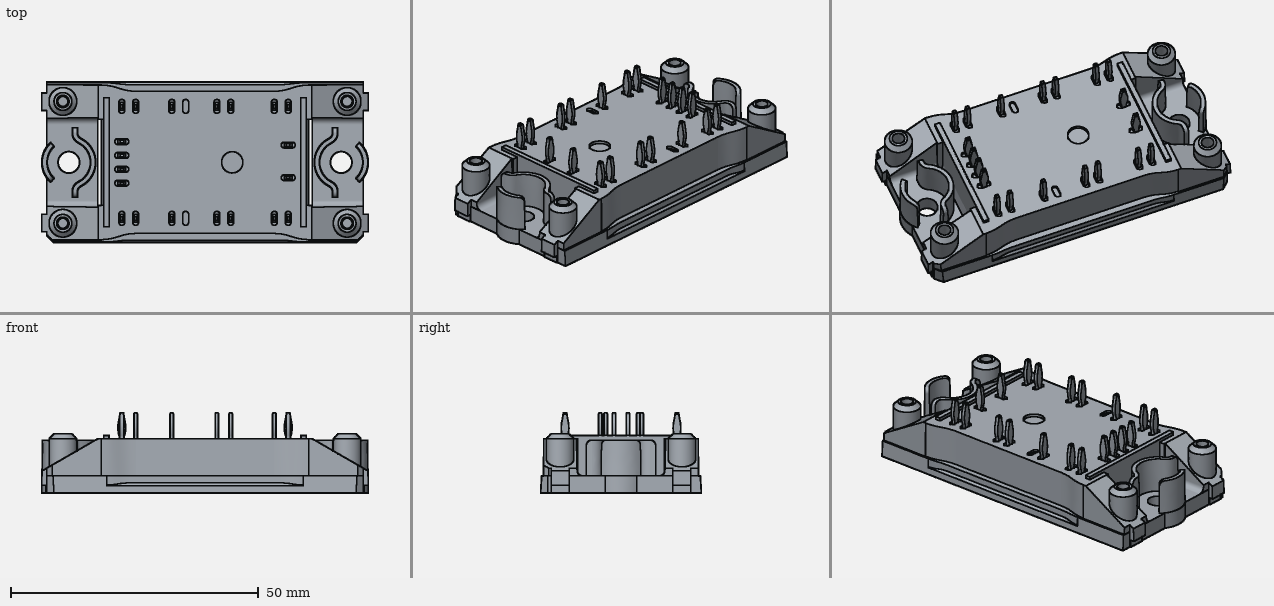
import cadquery as cq
import math

base_length = 64.0
base_width = 32.5
base_top_width = 32.1
base_height = 3.45
base_corner_chamfer = 1.5

housing_length = 63.9
housing_width = 31.4
housing_top_width = 31.2
housing_top = 11.0
housing_corner_chamfer = 1.1
ramp_start_x = 21.6
ramp_angle = 30.0

waist_width = 28.7
waist_inner_x = 13.95
waist_outer_x = 20.95

recess_width = 31.4
recess_inner_x = 15.3
recess_outer_x = 19.8
recess_floor_outer_z = 1.4
recess_floor_inner_z = 2.05

pocket_back_x = 21.65
pocket_top_width = 18.1
pocket_floor_width = 17.7
pocket_fillet = 1.2
slot_bottom_x = 21.0
slot_width = 17.4

mount_x = 27.5
mount_diameter = 4.3
mount_disc_radius = 5.5
clip_top = 10.7
clip_radius = 4.9
clip_thickness = 1.2
clip_draft = 0.7
clip_corner_radius = 1.1
arc_wall_half_angle = 48.0
s_wall_end_x = 1.23
s_wall_end_y = 7.0
s_wall_bend_y = 5.9

tab_end_x = 33.0
tab_top_x = 32.75
tab_foot_x = 32.2
tab_bottom = 1.6
tab_y = 12.25
tab_width = 3.6

boss_x = 28.7
boss_y = 12.3
boss_radius = 2.8
boss_top = 12.0
boss_chamfer = 1.0
boss_hole_diameter = 2.5
boss_hole_bottom_diameter = 2.05
boss_hole_depth = 6.0

rib_x = 19.9
rib_width = 1.1
rib_length = 26.0
rib_height = 0.65
dimple_x = 5.5
dimple_diameter = 4.3
dimple_depth = 0.6

pin_slot_length = 2.8
pin_slot_width = 1.2
pin_slot_depth = 0.5
pin_tip = 16.23
pin_thickness = 0.75
pin_root_half_width = 0.5
pin_half_width = 0.79
pin_flank_half_width = 0.72
pin_neck_half_width = 0.6
pin_shoulder_half_width = 0.5
pin_tip_half_width = 0.36
pin_swell_start = 11.4
pin_widest = 12.8
pin_flank_top = 14.15
pin_neck = 14.75
pin_shoulder = 15.25
pin_tip_chamfer = 0.15
pin_tip_chamfer_height = 0.3

row_y = 11.3
row_pin_x = [-16.8, -14.0, -6.7, 2.4, 5.2, 14.0, 16.8]
row_empty_x = -3.9
end_pin_x = 16.8
left_pin_y = [-4.2, -1.4, 1.4, 4.2]
right_pin_y = [-3.1, 3.5]

overcut = 1.0
through = 40.0


def box(x_min, x_max, y_min, y_max, z_min, z_max):
    """Axis-aligned box from its limits."""
    size = (x_max - x_min, y_max - y_min, z_max - z_min)
    return cq.Workplane("XY").box(*size, centered=False).translate((x_min, y_min, z_min))


def mirror_x(shape):
    """The shape together with its mirror image across X = 0."""
    return shape.union(shape.mirror("YZ"))


def mirror_y(shape):
    """The shape together with its mirror image across Y = 0."""
    return shape.union(shape.mirror("XZ"))


def side_scallop(floor_y, rim_y, inner_x, outer_x, height):
    """Prism outside the -Y side whose ends are S-curves of two tangent arcs."""
    mid_x = (inner_x + outer_x) / 2
    mid_y = (floor_y + rim_y) / 2
    half = (
        cq.Workplane("XY")
        .moveTo(0, -floor_y)
        .lineTo(inner_x, -floor_y)
        .tangentArcPoint((mid_x, -mid_y), relative=False)
        .tangentArcPoint((outer_x, -rim_y), relative=False)
        .lineTo(outer_x, -rim_y - overcut)
        .lineTo(0, -rim_y - overcut)
        .close()
        .extrude(height)
    )
    return mirror_x(half)


def drafted_block(length, bottom_width, top_width, bottom, top):
    """Block along X whose two long sides lean inwards."""
    section = [
        (-bottom_width / 2, bottom),
        (bottom_width / 2, bottom),
        (top_width / 2, top),
        (-top_width / 2, top),
    ]
    return cq.Workplane("YZ").polyline(section).close().extrude(length / 2, both=True)


def base_plate():
    plate = drafted_block(base_length, base_width, base_top_width, 0, base_height)
    return plate.cut(corner_cutter(base_length, base_width, base_corner_chamfer))


def corner_cutter(length, width, size):
    """Triangular prisms that chamfer the two -Y corners of a block."""
    x = length / 2
    y = -width / 2
    corner = [
        (x - size - overcut, y - overcut),
        (x + overcut, y + size + overcut),
        (x + overcut, y - overcut),
    ]
    return mirror_x(cq.Workplane("XY").polyline(corner).close().extrude(through))


def base_recess():
    """Scallop in the -Y side of the base; its floor slopes up towards the inside."""
    plan = side_scallop(recess_width / 2, base_top_width / 2, recess_inner_x, recess_outer_x, base_height)
    outer_y = -base_width / 2
    inner_y = -recess_width / 2
    floor = [
        (outer_y - overcut, recess_floor_outer_z),
        (outer_y, recess_floor_outer_z),
        (inner_y, recess_floor_inner_z),
        (inner_y + overcut, recess_floor_inner_z),
        (inner_y + overcut, base_height),
        (outer_y - overcut, base_height),
    ]
    above_floor = cq.Workplane("YZ").polyline(floor).close().extrude(recess_outer_x, both=True)
    return plan.intersect(above_floor)


def ramp_profile(end_x):
    """Solid under the flat top and both end ramps, out to end_x."""
    end_z = housing_top - (end_x - ramp_start_x) * math.tan(math.radians(ramp_angle))
    section = [
        (-end_x, 0),
        (end_x, 0),
        (end_x, end_z),
        (ramp_start_x, housing_top),
        (-ramp_start_x, housing_top),
        (-end_x, end_z),
    ]
    return cq.Workplane("XZ").polyline(section).close().extrude(base_width / 2, both=True)


def housing():
    block = drafted_block(housing_length, housing_width, housing_top_width, base_height, housing_top)
    block = block.intersect(ramp_profile(housing_length / 2))
    block = block.cut(corner_cutter(housing_length, housing_width, housing_corner_chamfer))
    waist = side_scallop(waist_width / 2, housing_top_width / 2, waist_inner_x, waist_outer_x, housing_top)
    return block.cut(mirror_y(waist))


def end_tabs():
    """Tabs that carry the ramps on past the ends, with a shallower foot below."""
    end_x = base_length / 2
    section = [
        (end_x - overcut, 0),
        (tab_foot_x, 0),
        (tab_foot_x, tab_bottom),
        (tab_end_x, tab_bottom),
        (tab_top_x, housing_top),
        (end_x - overcut, housing_top),
    ]
    plane = cq.Workplane("XZ", origin=(0, tab_y, 0))
    tab = plane.polyline(section).close().extrude(tab_width / 2, both=True)
    return mirror_x(mirror_y(tab.intersect(ramp_profile(tab_end_x))))


def end_pockets():
    """Drafted pocket at each end, backed by a narrower slot through the base.

    Above the base, the back wall of the slot is flush with the rib on the top face.
    """
    pocket = (
        drafted_block(2 * tab_end_x, pocket_floor_width, pocket_top_width, base_height, housing_top)
        .edges("|X and <Z")
        .fillet(pocket_fillet)
        .intersect(box(-tab_end_x, -pocket_back_x, -base_width / 2, base_width / 2, 0, housing_top))
    )
    slot_section = [
        (-pocket_back_x, 0),
        (-slot_bottom_x, 0),
        (-rib_x - rib_width / 2, base_height),
        (-rib_x - rib_width / 2, housing_top),
        (-pocket_back_x, housing_top),
    ]
    slot = cq.Workplane("XZ").polyline(slot_section).close().extrude(slot_width / 2, both=True)
    return mirror_x(pocket.union(slot))


def arc_wall():
    """Upright arc on the outer side of the mounting hole, rounded at its top corners."""
    outer = clip_radius + clip_thickness / 2
    inner = clip_radius - clip_thickness / 2
    end_angle = math.radians(arc_wall_half_angle)
    cos_end = -math.cos(end_angle)
    sin_end = math.sin(end_angle)
    wall = (
        cq.Workplane("XY")
        .moveTo(outer * cos_end, -outer * sin_end)
        .threePointArc((-outer, 0), (outer * cos_end, outer * sin_end))
        .lineTo(inner * cos_end, inner * sin_end)
        .threePointArc((-inner, 0), (inner * cos_end, -inner * sin_end))
        .close()
        .extrude(clip_top, taper=clip_draft)
    )
    for side in (-1, 1):
        corner = (clip_radius * cos_end, side * clip_radius * sin_end, clip_top)
        wall = wall.edges(cq.selectors.NearestToPointSelector(corner)).fillet(clip_corner_radius)
    return wall


def s_wall():
    """Upright wall on the inner side of the mounting hole with flared, straight ends."""
    excess = s_wall_end_x**2 + s_wall_bend_y**2 - clip_radius**2
    bend_radius = excess / (2 * (clip_radius - s_wall_end_x))
    bend_x = s_wall_end_x + bend_radius
    bend_angle = math.atan2(s_wall_bend_y, bend_x)

    def filled(offset, draft):
        """Area between X = 0 and the wall's centreline shifted outwards by offset."""
        end_y = s_wall_end_y + overcut
        radius = clip_radius + offset
        end_x = s_wall_end_x + offset
        meet_x = radius * math.cos(bend_angle)
        meet_y = radius * math.sin(bend_angle)
        return (
            cq.Workplane("XY")
            .moveTo(0, -end_y)
            .lineTo(end_x, -end_y)
            .lineTo(end_x, -s_wall_bend_y)
            .tangentArcPoint((meet_x, -meet_y), relative=False)
            .threePointArc((radius, 0), (meet_x, meet_y))
            .tangentArcPoint((end_x, s_wall_bend_y), relative=False)
            .lineTo(end_x, end_y)
            .lineTo(0, end_y)
            .close()
            .extrude(clip_top, taper=draft)
        )

    rounded_side = (
        cq.Workplane("YZ")
        .rect(2 * s_wall_end_y, 2 * clip_top)
        .extrude(through)
        .edges("|X")
        .fillet(clip_corner_radius)
    )
    outside = filled(clip_thickness / 2, clip_draft)
    inside = filled(-clip_thickness / 2, -clip_draft)
    return outside.cut(inside).intersect(rounded_side)


def mounts():
    """Mounting discs and clip walls at both ends."""
    disc = cq.Workplane("XY").circle(mount_disc_radius).extrude(base_height)
    mount = disc.union(arc_wall()).union(s_wall())
    return mirror_x(mount.translate((-mount_x, 0, 0)))


def mount_holes():
    places = [(-mount_x, 0), (mount_x, 0)]
    return cq.Workplane("XY").pushPoints(places).circle(mount_diameter / 2).extrude(through)


def boss_positions():
    return cq.Workplane("XY").rect(2 * boss_x, 2 * boss_y, forConstruction=True).vertices()


def bosses():
    return boss_positions().circle(boss_radius).extrude(boss_top).faces(">Z").edges().chamfer(boss_chamfer)


def boss_holes():
    draft = math.degrees(math.atan2(boss_hole_diameter - boss_hole_bottom_diameter, 2 * boss_hole_depth))
    holes = boss_positions().circle(boss_hole_diameter / 2).extrude(-boss_hole_depth, taper=draft)
    return holes.translate((0, 0, boss_top))


def top_ribs():
    rib = box(-rib_x - rib_width / 2, -rib_x + rib_width / 2, -rib_length / 2, rib_length / 2,
              housing_top - overcut, housing_top + rib_height)
    return mirror_x(rib)


def dimple():
    return (
        cq.Workplane("XY", origin=(dimple_x, 0, housing_top - dimple_depth))
        .circle(dimple_diameter / 2)
        .extrude(dimple_depth)
    )


def pin():
    """Press-fit pin, flat in the YZ plane, with bulged sides; its root is buried in the housing."""
    root = housing_top - pin_slot_depth - overcut
    half = (
        cq.Workplane("YZ")
        .moveTo(0, root)
        .lineTo(pin_root_half_width, root)
        .lineTo(pin_root_half_width, pin_swell_start)
        .threePointArc((pin_half_width, pin_widest), (pin_flank_half_width, pin_flank_top))
        .lineTo(pin_neck_half_width, pin_neck)
        .lineTo(pin_shoulder_half_width, pin_shoulder)
        .lineTo(pin_tip_half_width, pin_tip)
        .lineTo(0, pin_tip)
        .close()
        .extrude(pin_thickness / 2, both=True)
    )
    blade = mirror_y(half).clean()
    tip_edges = blade.faces(">Z").edges("|Y")
    return tip_edges.chamfer(pin_tip_chamfer_height, pin_tip_chamfer)


def pin_slot():
    return (
        cq.Workplane("XY", origin=(0, 0, housing_top - pin_slot_depth))
        .slot2D(pin_slot_length, pin_slot_width, 90)
        .extrude(pin_slot_depth)
    )


def place(shape, places, turn):
    """Copies of a shape, turned about Z and moved to each place, in one workplane."""
    turned = shape.rotate((0, 0, 0), (0, 0, 1), turn)
    copies = cq.Workplane("XY")
    for x, y in places:
        copies = copies.add(turned.translate((x, y, 0)))
    return copies.combine()


row_places = [(x, side * row_y) for x in row_pin_x for side in (-1, 1)]
empty_places = [(row_empty_x, -row_y), (row_empty_x, row_y)]
end_places = [(-end_pin_x, y) for y in left_pin_y] + [(end_pin_x, y) for y in right_pin_y]

result = base_plate().cut(mirror_y(base_recess())).union(housing()).union(end_tabs())
result = result.union(bosses()).cut(boss_holes())
result = result.cut(end_pockets()).union(mounts()).cut(mount_holes())
result = result.union(top_ribs()).cut(dimple())
result = result.cut(place(pin_slot(), row_places + empty_places, 0))
result = result.cut(place(pin_slot(), end_places, 90))
result = result.union(place(pin(), row_places, 0))
result = result.union(place(pin(), end_places, 90))